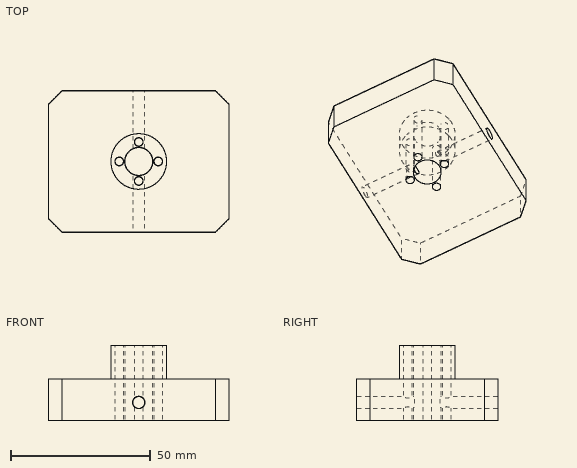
import cadquery as cq

base_length = 65.0
base_width = 51.0
base_height = 15.0
corner_chamfer = 5.0

boss_diameter = 20.0
boss_height = 12.0
bore_diameter = 10.0
total_height = base_height + boss_height

screw_hole_diameter = 3.0
screw_hole_count = 4
screw_circle_radius = 7.0

cross_hole_diameter = 4.3
cross_hole_height = 6.5


def make_base():
    """Rectangular block standing on Z = 0 with chamfered vertical corners."""
    block = cq.Workplane("XY").box(base_length, base_width, base_height, centered=(True, True, False))
    return block.edges("|Z").chamfer(corner_chamfer)


def make_boss():
    """Cylinder rising from the centre of the base's top face."""
    boss_plane = cq.Workplane("XY").workplane(offset=base_height)
    return boss_plane.circle(boss_diameter / 2).extrude(boss_height)


def make_bore():
    """Central bore through the boss and the base."""
    return cq.Workplane("XY").circle(bore_diameter / 2).extrude(total_height)


def make_screw_holes():
    """Evenly spaced holes around the bore, through the full height."""
    hole_centres = cq.Workplane("XY").polarArray(screw_circle_radius, 0, 360, screw_hole_count)
    return hole_centres.circle(screw_hole_diameter / 2).extrude(total_height)


def make_cross_hole():
    """Hole through the base from front to back, crossing the bore."""
    hole_centre = cq.Workplane("XZ").center(0, cross_hole_height)
    return hole_centre.circle(cross_hole_diameter / 2).extrude(base_width / 2, both=True)


body = make_base().union(make_boss())
result = body.cut(make_bore()).cut(make_screw_holes()).cut(make_cross_hole())